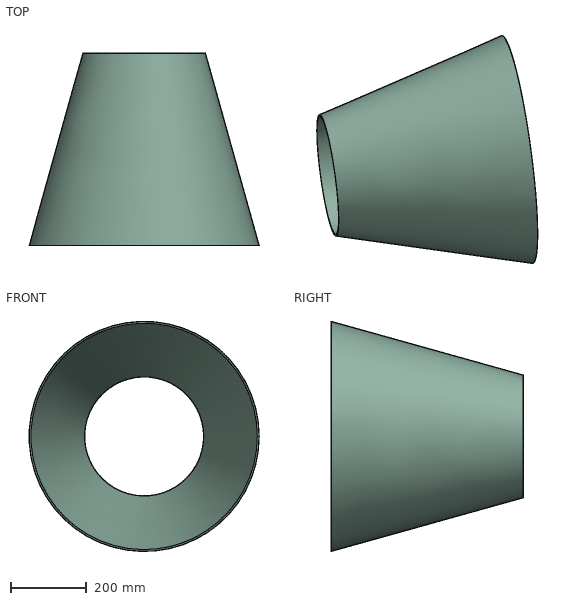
import cadquery as cq

large_diameter = 608.0
small_diameter = 324.0
length = 508.0
radial_wall = 5.15

large_radius = large_diameter / 2
small_radius = small_diameter / 2

wall_section = (
    cq.Workplane("XY")
    .moveTo(large_radius - radial_wall, 0)
    .lineTo(large_radius, 0)
    .lineTo(small_radius, length)
    .lineTo(small_radius - radial_wall, length)
    .close()
)

result = wall_section.revolve(360, (0, 0, 0), (0, 1, 0))